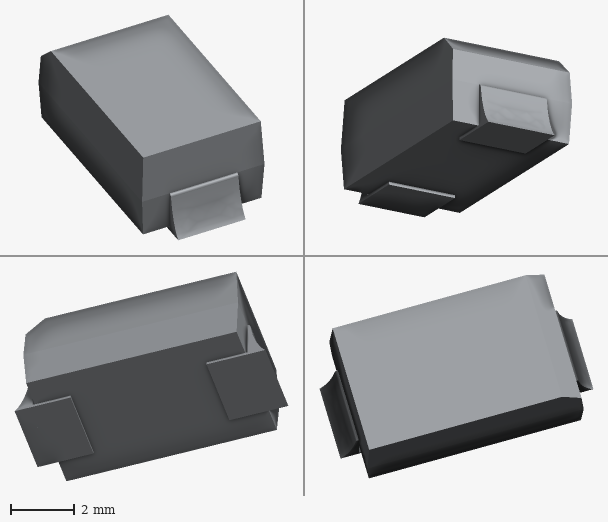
import cadquery as cq
import math

OVERALL_LENGTH = 8.3

CASE_LENGTH = 7.105
CASE_WIDTH = 4.35
CASE_TOP = 3.105
PARTING_HEIGHT = 1.45
DRAFT_ANGLE = 3.0
POLARITY_CHAMFER = 0.6

LEAD_THICKNESS = 0.1
LEAD_WIDTH = 2.4
LEFT_FOOT_END = 2.3
RIGHT_FOOT_END = 2.2
LEAD_INNER_FACE = CASE_LENGTH / 2
LEAD_OUTER_FACE = LEAD_INNER_FACE + LEAD_THICKNESS
LEAD_BEND_START = PARTING_HEIGHT - LEAD_THICKNESS
CASE_BOTTOM = LEAD_THICKNESS

SOLDER_UPPER_REACH = 0.07
SOLDER_UPPER_HEIGHT = 0.75
SOLDER_LOWER_REACH = 0.27
SOLDER_LOWER_HEIGHT = 0.215


def make_case():
    """Case with drafted walls above and below the parting line, bevelled at the -X end."""
    outline = cq.Sketch().rect(CASE_LENGTH, CASE_WIDTH)
    parting_plane = cq.Workplane("XY").workplane(offset=PARTING_HEIGHT)
    blank = parting_plane.placeSketch(outline)
    upper = blank.extrude(CASE_TOP - PARTING_HEIGHT, taper=DRAFT_ANGLE)
    upper = upper.faces(">Z").edges("<X").chamfer(POLARITY_CHAMFER)
    lower = blank.extrude(CASE_BOTTOM - PARTING_HEIGHT, taper=DRAFT_ANGLE)
    return upper.union(lower)


def lead_side_plane():
    """XZ plane on the +Y side of the leads; extruding by LEAD_WIDTH runs toward -Y."""
    return cq.Workplane("XZ", origin=(0, LEAD_WIDTH / 2, 0))


def make_lead(foot_inner_end):
    """L-shaped lead at the +X end: an upright strip with a rounded top, and a foot under the case."""
    bend_reach = LEAD_THICKNESS * math.sqrt(0.5)
    profile = (
        lead_side_plane()
        .moveTo(foot_inner_end, 0)
        .lineTo(LEAD_OUTER_FACE, 0)
        .lineTo(LEAD_OUTER_FACE, LEAD_BEND_START)
        .threePointArc(
            (LEAD_INNER_FACE + bend_reach, LEAD_BEND_START + bend_reach),
            (LEAD_INNER_FACE, PARTING_HEIGHT),
        )
        .lineTo(LEAD_INNER_FACE, LEAD_THICKNESS)
        .lineTo(foot_inner_end, LEAD_THICKNESS)
        .close()
    )
    return profile.extrude(LEAD_WIDTH)


def make_solder_fillet():
    """Concave solder fillet at the +X end, from the top of the upright strip down to the toe."""
    concave_face = [
        (LEAD_OUTER_FACE, LEAD_BEND_START),
        (LEAD_OUTER_FACE + SOLDER_UPPER_REACH, SOLDER_UPPER_HEIGHT),
        (LEAD_OUTER_FACE + SOLDER_LOWER_REACH, SOLDER_LOWER_HEIGHT),
        (OVERALL_LENGTH / 2, 0),
    ]
    profile = (
        lead_side_plane()
        .moveTo(LEAD_OUTER_FACE, 0)
        .lineTo(LEAD_OUTER_FACE, LEAD_BEND_START)
        .bezier(concave_face)
        .close()
    )
    return profile.extrude(LEAD_WIDTH)


case = make_case()

leads = []
solder_fillets = []
for turn, foot_inner_end in ((0, RIGHT_FOOT_END), (180, LEFT_FOOT_END)):
    leads.append(make_lead(foot_inner_end).rotate((0, 0, 0), (0, 0, 1), turn))
    solder_fillets.append(make_solder_fillet().rotate((0, 0, 0), (0, 0, 1), turn))

result = cq.Compound.makeCompound(
    [case.val()]
    + [lead.val() for lead in leads]
    + [fillet.val() for fillet in solder_fillets]
)